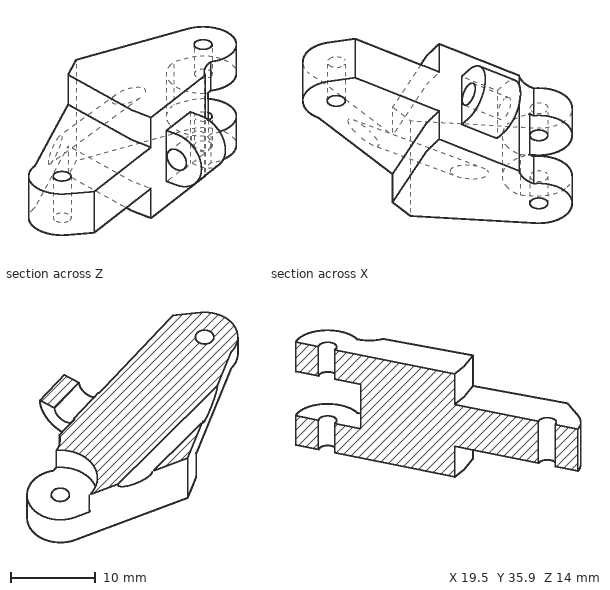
import cadquery as cq
import math

height = 14.0
pivot_spacing = 27.95
pivot_offset_x = 0.18
end_radius = 3.95
pivot_hole_diameter = 2.1

knuckle = (-9.93, 16.45)
tongue_corner_x = 5.05
back_top = (4.37, 22.62)
neck = (3.15, 25.4)
bite_middle = (3.45, 23.88)

tongue_thickness = 5.75
shoulder_y = 11.33
shoulder_bend_x = 1.9
shoulder_front = (-8.75, 13.23)
slot_width = 5.95
slot_radius = 4.35

lug_center = (6.02, 17.05)
lug_diameter = 7.05
lug_width = 5.0
lug_hole_diameter = 2.75
lug_root_depth = 2.87
cord_hole_x = -6.85
cord_hole_diameter = 2.0

clevis_pivot = (pivot_offset_x, pivot_spacing)
clearance = 7.17

chamfer_tangent = end_radius * math.sqrt(0.5)
tongue_corner = (tongue_corner_x, tongue_corner_x - end_radius * math.sqrt(2))

back_tilt = math.degrees(
    math.atan2(tongue_corner[0] - back_top[0], back_top[1] - tongue_corner[1])
)


def tangent_point(outside, center, radius):
    """Point where the left tangent from an outside point touches a circle."""
    dx = outside[0] - center[0]
    dy = outside[1] - center[1]
    angle = math.atan2(dy, dx) - math.acos(radius / math.hypot(dx, dy))
    return center[0] + radius * math.cos(angle), center[1] + radius * math.sin(angle)


def cylinder(center, radius, length):
    """Vertical cylinder centred on Z = 0."""
    return cq.Workplane("XY").center(*center).circle(radius).extrude(length / 2, both=True)


def make_body():
    return (
        cq.Workplane("XY")
        .moveTo(*knuckle)
        .lineTo(*tangent_point(knuckle, clevis_pivot, end_radius))
        .threePointArc((pivot_offset_x, pivot_spacing + end_radius), neck)
        .threePointArc(bite_middle, back_top)
        .lineTo(*tongue_corner)
        .lineTo(chamfer_tangent, -chamfer_tangent)
        .threePointArc((0, -end_radius), (-end_radius, 0))
        .close()
        .extrude(height / 2, both=True)
    )


def make_shoulder_cuts():
    """Material removed above and below the tongue."""
    right = tongue_corner_x + clearance
    left = knuckle[0] - clearance
    bottom = -end_radius - clearance
    outline = (
        cq.Workplane("XY")
        .polyline([
            (left, bottom),
            (right, bottom),
            (right, shoulder_y),
            (shoulder_bend_x, shoulder_y),
            shoulder_front,
            (left, shoulder_front[1]),
        ])
        .close()
        .extrude(height, both=True)
    )
    tongue_layer = cq.Workplane("XY").box(4 * height, 4 * height, tongue_thickness)
    return outline.cut(tongue_layer)


def make_lug():
    """Rounded plate, built along X and turned square to the back face."""
    root = (
        cq.Workplane("XY")
        .box(lug_root_depth, lug_width, lug_diameter)
        .translate((-lug_root_depth / 2, 0, 0))
    )
    eye = cq.Workplane("XZ").circle(lug_diameter / 2).extrude(lug_width / 2, both=True)
    return place_on_lug(root.union(eye))


def make_lug_hole():
    hole = cq.Workplane("XZ").circle(lug_hole_diameter / 2).extrude(lug_width / 2, both=True)
    return place_on_lug(hole)


def place_on_lug(shape):
    return shape.rotate((0, 0, 0), (0, 0, 1), back_tilt).translate((*lug_center, 0))


def make_cord_hole():
    return (
        cq.Workplane("XZ")
        .center(cord_hole_x, 0)
        .circle(cord_hole_diameter / 2)
        .extrude(pivot_spacing + clearance, both=True)
    )


result = make_body().cut(make_shoulder_cuts())
result = result.cut(cylinder(clevis_pivot, slot_radius, slot_width))
result = result.union(make_lug()).cut(make_lug_hole()).cut(make_cord_hole())
for pivot in ((0, 0), clevis_pivot):
    result = result.cut(cylinder(pivot, pivot_hole_diameter / 2, height))